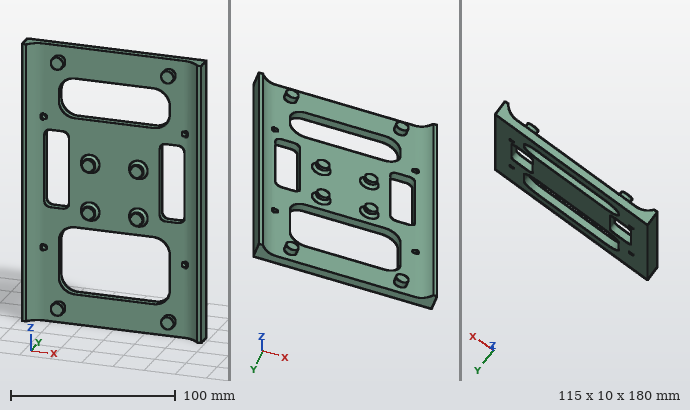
import cadquery as cq

width = 115.0
height = 180.0
rail_depth = 10.0
web_thickness = 5.0
lip_width = 2.5
cove_radius = 12.6

window_width = 71.3
window_radius = 10.5
upper_window_bottom, upper_window_top = 44.0, 69.7
lower_window_bottom, lower_window_top = -70.5, -27.0
slot_inner_x, slot_outer_x = 29.2, 45.0
slot_bottom, slot_top = -15.8, 34.4
slot_radius = 4.0

pin_diameter = 8.0
pin_end_depth = 9.0
corner_pin_x, corner_pin_z = 35.5, 80.0
corner_pin_shift = -0.4
centre_pin_offset = 15.5
collar_diameter = 11.9
collar_height = (collar_diameter - pin_diameter) / 2

hole_x, hole_z = 45.0, 42.5
hole_diameter = 3.2
hole_mouth_diameter = 4.7
hole_seat_clearance = 0.04

cove_height = rail_depth - web_thickness
cove_width = (cove_radius**2 - (cove_radius - cove_height)**2) ** 0.5
half_width = width / 2
lip_x = half_width - lip_width
web_edge_x = lip_x - cove_width
cove_mid_height = cove_radius - (cove_radius**2 - (cove_width / 2)**2) ** 0.5
cove_mid_x = web_edge_x + cove_width / 2
cove_mid_y = -web_thickness - cove_mid_height


def front_plane(depth):
    """Plane facing -Y, the given depth in front of the back face."""
    return cq.Workplane("XZ", origin=(0, -depth, 0))


def mirrored_points(x, z):
    return [(sx * x, sz * z) for sx in (-1, 1) for sz in (-1, 1)]


def window(left, right, bottom, top, radius):
    """Cutter for a rounded rectangular opening through the plate."""
    return (
        front_plane(0)
        .center((left + right) / 2, (bottom + top) / 2)
        .rect(right - left, top - bottom)
        .extrude(rail_depth)
        .edges("|Y")
        .fillet(radius)
    )


def plate():
    return (
        cq.Workplane("XY", origin=(0, 0, -height / 2))
        .moveTo(-half_width, 0)
        .lineTo(half_width, 0)
        .lineTo(half_width, -rail_depth)
        .lineTo(lip_x, -rail_depth)
        .threePointArc((cove_mid_x, cove_mid_y), (web_edge_x, -web_thickness))
        .lineTo(-web_edge_x, -web_thickness)
        .threePointArc((-cove_mid_x, cove_mid_y), (-lip_x, -rail_depth))
        .lineTo(-half_width, -rail_depth)
        .close()
        .extrude(height)
    )


def pins(points):
    return (
        front_plane(web_thickness)
        .pushPoints(points)
        .circle(pin_diameter / 2)
        .extrude(pin_end_depth - web_thickness)
    )


def collar(x, z):
    """Cone around the base of a centre pin."""
    return (
        front_plane(web_thickness)
        .center(x, z)
        .circle(collar_diameter / 2)
        .workplane(offset=collar_height)
        .circle(pin_diameter / 2)
        .loft()
    )


def screw_hole(x, z):
    """Cutter for a through hole with a wider mouth that seats the cove almost down to the web."""
    bore = front_plane(0).center(x, z).circle(hole_diameter / 2).extrude(rail_depth)
    mouth = (
        front_plane(web_thickness + hole_seat_clearance)
        .center(x, z)
        .circle(hole_mouth_diameter / 2)
        .extrude(rail_depth - web_thickness)
    )
    return bore.union(mouth)


centre_pin_points = mirrored_points(centre_pin_offset, centre_pin_offset)

result = plate()
for bottom, top in (
    (upper_window_bottom, upper_window_top),
    (lower_window_bottom, lower_window_top),
):
    result = result.cut(window(-window_width / 2, window_width / 2, bottom, top, window_radius))
for left, right in ((-slot_outer_x, -slot_inner_x), (slot_inner_x, slot_outer_x)):
    result = result.cut(window(left, right, slot_bottom, slot_top, slot_radius))

corner_pin_points = [(x, z + corner_pin_shift) for x, z in mirrored_points(corner_pin_x, corner_pin_z)]
result = result.union(pins(corner_pin_points))
result = result.union(pins(centre_pin_points))
for x, z in centre_pin_points:
    result = result.union(collar(x, z))
for x, z in mirrored_points(hole_x, hole_z):
    result = result.cut(screw_hole(x, z))